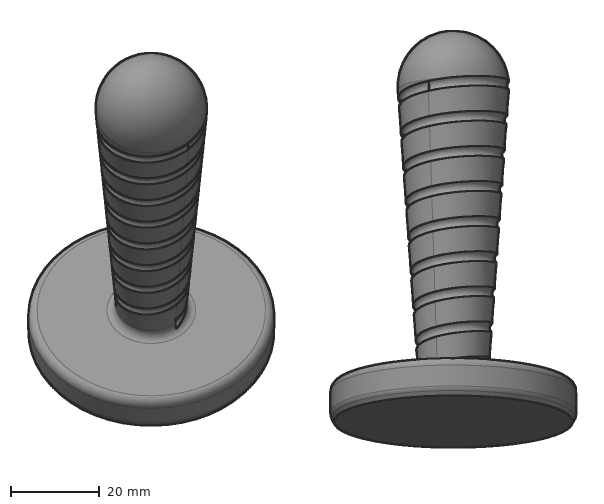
import cadquery as cq
import math

TOTAL_HEIGHT = 90.0

BASE_RADIUS = 55.5 / 2
BASE_HEIGHT = 8.85
BASE_ROUND = 2.0
RIM_TILT = 30.0

DOME_RADIUS = 12.6
TAPER_ANGLE = 4.0
NECK_ROUND = 2.0

GROOVE_PITCH = 8.0
FULL_TURNS = 8
GROOVE_START = 11.0
GROOVE_BAR_RADIUS = 1.5
GROOVE_DEPTH = 0.5

TAPER = math.tan(math.radians(TAPER_ANGLE))
DOME_CENTER = TOTAL_HEIGHT - DOME_RADIUS
TANGENT_RADIUS = DOME_RADIUS * math.cos(math.radians(TAPER_ANGLE))
TANGENT_HEIGHT = DOME_CENTER - DOME_RADIUS * math.sin(math.radians(TAPER_ANGLE))


def cone_radius(height):
    """Radius of the grip's cone at a height above the base underside."""
    return TANGENT_RADIUS - (TANGENT_HEIGHT - height) * TAPER


def base_disc():
    """Disc with rounded rims; the lower rounding runs out along its tangent to the underside."""
    tilt = math.radians(RIM_TILT)
    rim_height = BASE_ROUND * (1 - math.sin(tilt))
    rim_radius = BASE_RADIUS - BASE_ROUND * (1 - math.cos(tilt))
    underside_radius = rim_radius - rim_height * math.tan(tilt)
    return (
        cq.Workplane("XZ")
        .moveTo(0, 0)
        .lineTo(underside_radius, 0)
        .lineTo(rim_radius, rim_height)
        .radiusArc((BASE_RADIUS, BASE_ROUND), -BASE_ROUND)
        .lineTo(BASE_RADIUS, BASE_HEIGHT - BASE_ROUND)
        .radiusArc((BASE_RADIUS - BASE_ROUND, BASE_HEIGHT), -BASE_ROUND)
        .lineTo(0, BASE_HEIGHT)
        .close()
        .revolve(360, (0, 0, 0), (0, 1, 0))
    )


def grip():
    """Cone widening upwards, closed by a sphere that is tangent to it."""
    return (
        cq.Workplane("XZ")
        .moveTo(0, 0)
        .lineTo(cone_radius(0), 0)
        .lineTo(TANGENT_RADIUS, TANGENT_HEIGHT)
        .radiusArc((0, TOTAL_HEIGHT), -DOME_RADIUS)
        .close()
        .revolve(360, (0, 0, 0), (0, 1, 0))
    )


def groove_bar(start_height, turns):
    """Round bar swept along a conical helix that begins on the +X side."""
    path_radius = cone_radius(start_height) + GROOVE_BAR_RADIUS - GROOVE_DEPTH
    slant_pitch = GROOVE_PITCH / math.cos(math.radians(TAPER_ANGLE))
    helix = cq.Wire.makeHelix(slant_pitch, turns * slant_pitch, path_radius, angle=TAPER_ANGLE)
    return (
        cq.Workplane("XZ", origin=(path_radius, 0, 0))
        .circle(GROOVE_BAR_RADIUS)
        .sweep(cq.Workplane(helix), isFrenet=True)
        .translate((0, 0, start_height))
    )


def cut_groove(body):
    """Cut the full turns on the cone, then the last turn, which runs out on the dome."""
    runout_start = GROOVE_START + FULL_TURNS * GROOVE_PITCH
    return body.cut(groove_bar(GROOVE_START, FULL_TURNS)).cut(groove_bar(runout_start, 1))


def neck_fillet(body):
    """Round the inner corner where the grip meets the base."""
    reach = BASE_RADIUS / 2
    margin = 0.1
    neck_edge = cq.selectors.BoxSelector(
        (-reach, -reach, BASE_HEIGHT - margin),
        (reach, reach, BASE_HEIGHT + margin),
    )
    return body.edges(neck_edge).fillet(NECK_ROUND)


result = cut_groove(neck_fillet(base_disc().union(grip())))